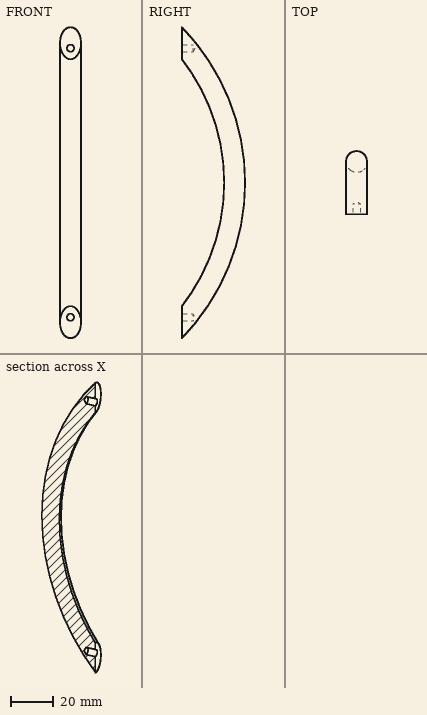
import cadquery as cq
import math

length = 148.0
depth = 30.2
bar_diameter = 10.0
hole_spacing = 128.0
hole_diameter = 3.4
hole_depth = 5.2
drill_point_angle = 118.0

outer_radius = ((length / 2) ** 2 + depth**2) / (2 * depth)
bow_radius = outer_radius - bar_diameter / 2
bow_center_y = depth - outer_radius


def bow():
    """Round bar bent to an arc and cut flat at the mounting plane Y = 0."""
    ring = cq.Workplane("XY").add(
        cq.Solid.makeTorus(
            bow_radius, bar_diameter / 2, cq.Vector(0, bow_center_y, 0), cq.Vector(1, 0, 0)
        )
    )
    keep = cq.Workplane("XY").box(
        2 * bar_diameter, 2 * depth, 2 * length, centered=(True, False, True)
    )
    return ring.intersect(keep)


def mounting_hole(z):
    """Blind hole drilled along +Y from the mounting plane, ending in a conical point."""
    radius = hole_diameter / 2
    point_height = radius / math.tan(math.radians(drill_point_angle / 2))
    return (
        cq.Workplane("XY")
        .polyline([(0, 0), (radius, 0), (radius, hole_depth), (0, hole_depth + point_height)])
        .close()
        .revolve(360, (0, 0, 0), (0, 1, 0))
        .translate((0, 0, z))
    )


result = bow()
for side in (-1, 1):
    result = result.cut(mounting_hole(side * hole_spacing / 2))